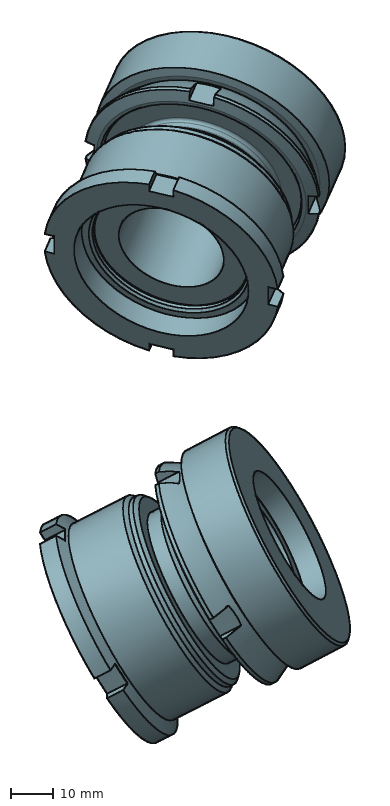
import cadquery as cq
import math


FLANGE_RADIUS = 29.0
THREAD_RADIUS = 20.0
THREAD_CHAMFER = 1.0
NOTCH_WIDTH = 6.0
NOTCH_FLOOR_RADIUS = 26.5
NOTCH_COUNT = 4
NOTCH_OVERCUT = 1.0

SLEEVE_LENGTH = 24.1
SLEEVE_RADIUS = 26.0
FLANGE_RIM = 4.4
FLANGE_CONE_ANGLE = 30.0
SLEEVE_NOTCH_LENGTH = 5.6
SPIGOT_RADIUS = 25.0
SPIGOT_START = 21.9
SPIGOT_CHAMFER = 1.0
COUNTERBORE_RADIUS = 21.6
COUNTERBORE_DEPTH = 6.0
LIP_RADIUS = 19.2
LIP_CHAMFER = 0.65

SPINDLE_START = 7.7
SPINDLE_BORE_RADIUS = 13.0
NECK_RADIUS = 18.85
THREAD_END = 27.8
NECK_FILLET = 0.8
NECK_CONE_ANGLE = 45.0
HEAD_FRONT = 30.45
HEAD_RECESS_RADIUS = 25.0
HEAD_RECESS_DEPTH = 1.0
HEAD_RECESS_FLOOR_RADIUS = 24.5
HEAD_CONE_RADIUS = 26.0
HEAD_CONE_ANGLE = 15.0
HEAD_RIM = 1.0
HEAD_TOP_RADIUS = 17.0
SPHERE_RADIUS = 32.0

RING_FRONT = 38.15
RING_BACK = 51.38
RING_CONE_RADIUS = 26.8
RING_CONE_ANGLE = 15.0
RING_BACK_CHAMFER = 0.6
RING_BORE_RADIUS = HEAD_TOP_RADIUS
RING_TILT = 0.46

head_cone_length = (FLANGE_RADIUS - HEAD_CONE_RADIUS) * math.tan(math.radians(HEAD_CONE_ANGLE))
head_rim_start = HEAD_FRONT + head_cone_length
dome_start = head_rim_start + HEAD_RIM
sphere_center = dome_start - math.sqrt(SPHERE_RADIUS**2 - FLANGE_RADIUS**2)


def dome_y(radius):
    """Position along Y of the spherical seat at a given radius."""
    return sphere_center + math.sqrt(SPHERE_RADIUS**2 - radius**2)


def dome_radius(y):
    """Radius of the spherical seat at a given position along Y."""
    return math.sqrt(SPHERE_RADIUS**2 - (y - sphere_center) ** 2)


def turn(profile):
    """Revolve a closed (radius, y) profile around the Y axis."""
    return profile.close().revolve(360, (0, 0, 0), (0, 1, 0))


def cut_notches(body, y_start, y_end):
    """Cut the spanner notches into the rim between two positions along Y."""
    depth = FLANGE_RADIUS - NOTCH_FLOOR_RADIUS + NOTCH_OVERCUT
    for index in range(NOTCH_COUNT):
        notch = (
            cq.Workplane("XY")
            .box(depth, y_end - y_start, NOTCH_WIDTH, centered=(False, False, True))
            .translate((NOTCH_FLOOR_RADIUS, y_start, 0))
            .rotate((0, 0, 0), (0, 1, 0), index * 360 / NOTCH_COUNT)
        )
        body = body.cut(notch)
    return body.solids()


def make_sleeve():
    """Flanged sleeve with a counterbore and a lip in front of the thread."""
    cone_length = (FLANGE_RADIUS - SLEEVE_RADIUS) * math.tan(math.radians(FLANGE_CONE_ANGLE))
    profile = (
        cq.Workplane("XY")
        .moveTo(COUNTERBORE_RADIUS, 0)
        .lineTo(FLANGE_RADIUS, 0)
        .lineTo(FLANGE_RADIUS, FLANGE_RIM)
        .lineTo(SLEEVE_RADIUS, FLANGE_RIM + cone_length)
        .lineTo(SLEEVE_RADIUS, SPIGOT_START - (SLEEVE_RADIUS - SPIGOT_RADIUS))
        .lineTo(SPIGOT_RADIUS, SPIGOT_START)
        .lineTo(SPIGOT_RADIUS, SLEEVE_LENGTH - SPIGOT_CHAMFER)
        .lineTo(SPIGOT_RADIUS - SPIGOT_CHAMFER, SLEEVE_LENGTH)
        .lineTo(THREAD_RADIUS, SLEEVE_LENGTH)
        .lineTo(THREAD_RADIUS, SPINDLE_START)
        .lineTo(LIP_RADIUS, SPINDLE_START)
        .lineTo(LIP_RADIUS, COUNTERBORE_DEPTH + LIP_CHAMFER)
        .lineTo(LIP_RADIUS + LIP_CHAMFER, COUNTERBORE_DEPTH)
        .lineTo(COUNTERBORE_RADIUS, COUNTERBORE_DEPTH)
    )
    return cut_notches(turn(profile), 0, SLEEVE_NOTCH_LENGTH)


def make_spindle():
    """Hollow threaded spindle with a recessed, domed and notched head."""
    recess_floor = HEAD_FRONT + HEAD_RECESS_DEPTH
    cone_angle = math.radians(NECK_CONE_ANGLE)
    neck_corner = THREAD_END + (THREAD_RADIUS - NECK_RADIUS) / math.tan(cone_angle)
    tangent_length = NECK_FILLET * math.tan(cone_angle / 2)
    fillet_radius = NECK_RADIUS + tangent_length * math.sin(cone_angle)
    mid_radius = (FLANGE_RADIUS + HEAD_TOP_RADIUS) / 2
    profile = (
        cq.Workplane("XY")
        .moveTo(SPINDLE_BORE_RADIUS, SPINDLE_START)
        .lineTo(THREAD_RADIUS - THREAD_CHAMFER, SPINDLE_START)
        .lineTo(THREAD_RADIUS, SPINDLE_START + THREAD_CHAMFER)
        .lineTo(THREAD_RADIUS, THREAD_END)
        .lineTo(fillet_radius, neck_corner - (fillet_radius - NECK_RADIUS) / math.tan(cone_angle))
        .tangentArcPoint((NECK_RADIUS, neck_corner + tangent_length), relative=False)
        .lineTo(NECK_RADIUS, recess_floor - NECK_FILLET)
        .tangentArcPoint((NECK_RADIUS + NECK_FILLET, recess_floor), relative=False)
        .lineTo(HEAD_RECESS_FLOOR_RADIUS, recess_floor)
        .lineTo(HEAD_RECESS_RADIUS, HEAD_FRONT)
        .lineTo(HEAD_CONE_RADIUS, HEAD_FRONT)
        .lineTo(FLANGE_RADIUS, head_rim_start)
        .lineTo(FLANGE_RADIUS, dome_start)
        .threePointArc((mid_radius, dome_y(mid_radius)), (HEAD_TOP_RADIUS, dome_y(HEAD_TOP_RADIUS)))
        .lineTo(SPINDLE_BORE_RADIUS, dome_y(HEAD_TOP_RADIUS))
    )
    return cut_notches(turn(profile), HEAD_FRONT, dome_y(NOTCH_FLOOR_RADIUS))


def make_seat_ring():
    """Ring with a spherical seat, tilted about the centre of the sphere."""
    cone_length = (FLANGE_RADIUS - RING_CONE_RADIUS) * math.tan(math.radians(RING_CONE_ANGLE))
    seat_radius = dome_radius(RING_FRONT)
    mid_radius = (seat_radius + RING_BORE_RADIUS) / 2
    profile = (
        cq.Workplane("XY")
        .moveTo(seat_radius, RING_FRONT)
        .lineTo(RING_CONE_RADIUS, RING_FRONT)
        .lineTo(FLANGE_RADIUS, RING_FRONT + cone_length)
        .lineTo(FLANGE_RADIUS, RING_BACK - RING_BACK_CHAMFER)
        .lineTo(FLANGE_RADIUS - RING_BACK_CHAMFER, RING_BACK)
        .lineTo(RING_BORE_RADIUS, RING_BACK)
        .lineTo(RING_BORE_RADIUS, dome_y(RING_BORE_RADIUS))
        .threePointArc((mid_radius, dome_y(mid_radius)), (seat_radius, RING_FRONT))
    )
    return (
        turn(profile)
        .rotate((0, sphere_center, 0), (1, sphere_center, 0), RING_TILT)
        .rotate((0, sphere_center, 0), (0, sphere_center, 1), -RING_TILT)
    )


sleeve = make_sleeve()
spindle = make_spindle()
seat_ring = make_seat_ring()

result = cq.Compound.makeCompound([sleeve.val(), spindle.val(), seat_ring.val()])